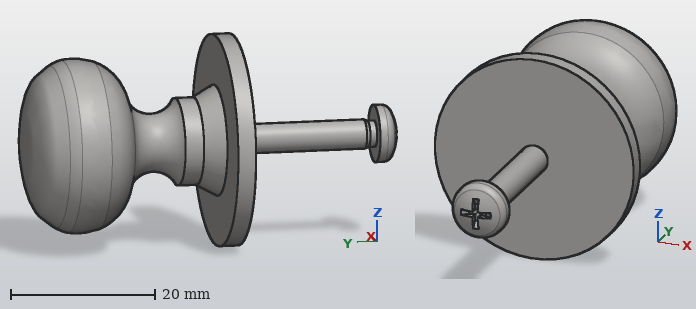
import cadquery as cq
import math


OVERALL_L = 52.55

PLATE_D = 29.5
PLATE_R = PLATE_D / 2
PLATE_T = 2.5
FOOT_R = 7.75
COLLAR_R = 6.1
COLLAR_BOTTOM = 5.45
COLLAR_TOP = 8.1
WAIST_R = 4.05
WAIST_Y = 11.55
THROAT_R = 7.15
THROAT_Y = 15.45
UNDERSIDE_R = 10.7
UNDERSIDE_Y = 17.9
BELLY_LOW_R = 11.7
BELLY_LOW_Y = 19.75
BELLY_R = 12.15
BELLY_Y = 22.05
BELLY_HIGH_R = 12.0
BELLY_HIGH_Y = 24.0
SHOULDER_MID_R = 11.65
SHOULDER_MID_Y = 24.85
SHOULDER_R = 11.25
SHOULDER_Y = 25.6
CROWN_MID_R = 9.45
CROWN_MID_Y = 27.75
CROWN_EDGE_R = 6.1
CROWN_EDGE_Y = 29.05
KNOB_H = 29.5
CROWN_START_DIR = (-0.9, 1.3)
CROWN_END_DIR = (-1, 0)

SCREW_X = -0.05
SHANK_R = 2.05
SHANK_L = 18.55
RELIEF_R = 1.85
RELIEF_START = 19.1
HEAD_R = 4.0
HEAD_START = 20.05
RIM_END = 21.15
DOME_R = 3.35
DOME_START = 22.2
SCREW_END = OVERALL_L - KNOB_H
HEAD_ROUND_R = 3.8
HEAD_ROUND_Y = 21.75

RECESS_R = 2.2
RECESS_W = 0.8
RECESS_FLOOR_R = 1.25
RECESS_FLOOR_DEPTH = 1.05
RECESS_DEPTH = 1.35


def revolve_about_y(profile):
    """Close a half profile drawn in the XY plane and turn it about the Y axis."""
    return profile.close().revolve(360, (0, 0, 0), (0, 1, 0))


def make_knob():
    profile = (
        cq.Workplane("XY")
        .lineTo(PLATE_R, 0)
        .lineTo(PLATE_R, PLATE_T)
        .lineTo(FOOT_R, PLATE_T)
        .lineTo(COLLAR_R, COLLAR_BOTTOM)
        .lineTo(COLLAR_R, COLLAR_TOP)
        .threePointArc((WAIST_R, WAIST_Y), (THROAT_R, THROAT_Y))
        .threePointArc((UNDERSIDE_R, UNDERSIDE_Y), (BELLY_LOW_R, BELLY_LOW_Y))
        .threePointArc((BELLY_R, BELLY_Y), (BELLY_HIGH_R, BELLY_HIGH_Y))
        .threePointArc((SHOULDER_MID_R, SHOULDER_MID_Y), (SHOULDER_R, SHOULDER_Y))
        .spline(
            [(CROWN_MID_R, CROWN_MID_Y), (CROWN_EDGE_R, CROWN_EDGE_Y), (0, KNOB_H)],
            tangents=[CROWN_START_DIR, CROWN_END_DIR],
            includeCurrent=True,
        )
    )
    return revolve_about_y(profile)


def dome_drop(radius):
    """How far the spherical screw dome has fallen from its apex at a given radius."""
    dome_h = SCREW_END - DOME_START
    sphere_r = (DOME_R**2 + dome_h**2) / (2 * dome_h)
    return sphere_r - math.sqrt(sphere_r**2 - radius**2)


def make_cross_recess():
    """Four arms cut from a stepped cone, so the floor slopes down to the centre."""
    cone = revolve_about_y(
        cq.Workplane("XY")
        .moveTo(0, -SCREW_END)
        .lineTo(RECESS_R, -SCREW_END)
        .lineTo(RECESS_R, -SCREW_END + dome_drop(RECESS_R))
        .lineTo(RECESS_FLOOR_R, -SCREW_END + RECESS_FLOOR_DEPTH)
        .lineTo(0, -SCREW_END + RECESS_DEPTH)
    )
    arm_l = 2 * RECESS_R
    arm_h = 2 * RECESS_DEPTH
    arm_along_x = cq.Workplane("XY").box(arm_l, arm_h, RECESS_W)
    arm_along_z = cq.Workplane("XY").box(RECESS_W, arm_h, arm_l)
    arms = arm_along_x.union(arm_along_z)
    return cone.intersect(arms.translate((0, -SCREW_END, 0)))


def make_screw():
    dome_mid_r = DOME_R / 2
    dome_mid_y = SCREW_END - dome_drop(dome_mid_r)
    profile = (
        cq.Workplane("XY")
        .lineTo(SHANK_R, 0)
        .lineTo(SHANK_R, -SHANK_L)
        .lineTo(RELIEF_R, -RELIEF_START)
        .lineTo(RELIEF_R, -HEAD_START)
        .lineTo(HEAD_R, -HEAD_START)
        .lineTo(HEAD_R, -RIM_END)
        .threePointArc((HEAD_ROUND_R, -HEAD_ROUND_Y), (DOME_R, -DOME_START))
        .threePointArc((dome_mid_r, -dome_mid_y), (0, -SCREW_END))
    )
    return revolve_about_y(profile).cut(make_cross_recess())


knob = make_knob()
screw = make_screw().translate((SCREW_X, 0, 0))

result = cq.Compound.makeCompound([knob.val(), screw.val()])